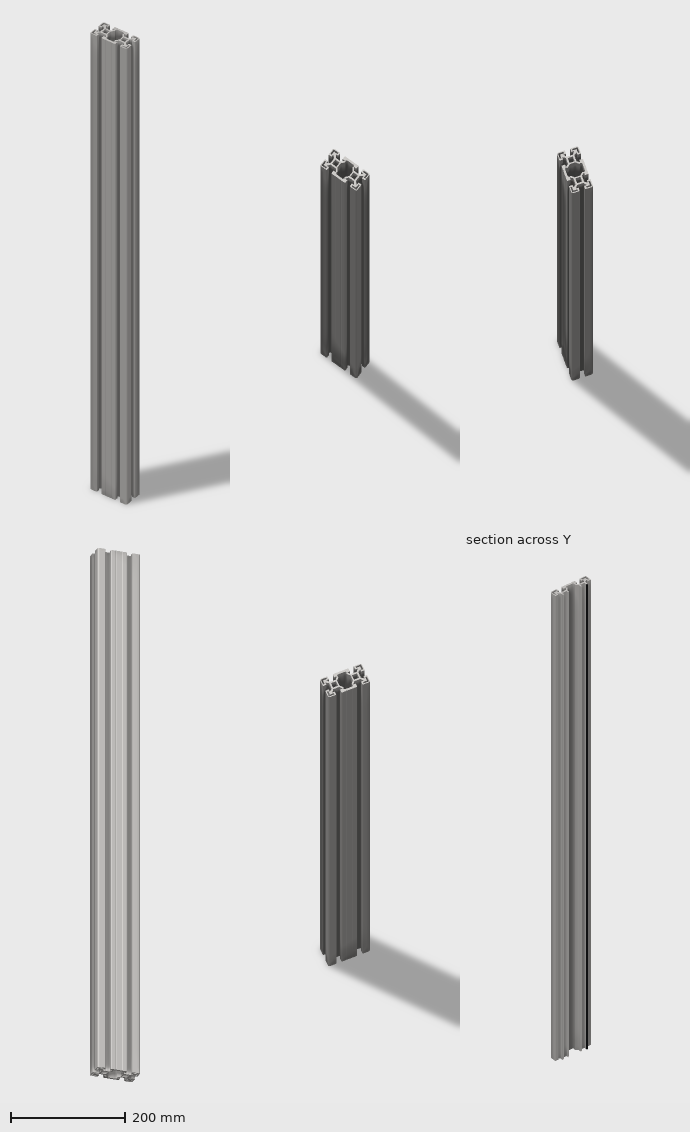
import cadquery as cq

width = 80.0
depth = 40.0
length = 1000.0
corner_radius = 3.1

cell = width / 2
core_x = cell / 2
core_half = 7.9
bore_side = 9.4

slot_half = 5.0
slot_chamfer_width = 1.2
slot_chamfer_depth = 0.5
lip_thickness = 6.7
wing_half = 9.9
floor_half = 5.9

groove_half = 0.9
groove_depth = 0.5
face_groove_x = 6.0

chamber_top_half = 7.0
chamber_top_y = 16.0
chamber_shoulder = (9.1, 14.0)
chamber_waist = (7.8, 11.0)
chamber_side = (13.0, 5.0)

hollow_wall = 1.8
hollow_arm_width = 2.8
hollow_reach = 12.0


def prism(points):
    """Extrude a closed outline over the full length."""
    return cq.Workplane("XY").polyline(points).close().extrude(length)


def with_mirror_in_x(points):
    """Complete a half outline with its mirror image across the Y axis."""
    return points + [(-x, y) for x, y in reversed(points)]


def t_slot():
    """Cutter for a T-slot that opens toward +Y, in a cell centred on the origin."""
    face = cell / 2
    lip_underside = face - lip_thickness
    right_half = [
        (slot_half + slot_chamfer_width, face),
        (slot_half, face - slot_chamfer_depth),
        (slot_half, lip_underside),
        (wing_half, lip_underside),
        (floor_half, core_half),
        (groove_half, core_half),
    ]
    outline = with_mirror_in_x(right_half)
    outline.insert(len(right_half), (0, core_half - groove_depth))
    return prism(outline)


def face_groove(x):
    """Cutter for a V-groove in the +Y face."""
    face = depth / 2
    return prism([(x - groove_half, face), (x + groove_half, face), (x, face - groove_depth)])


def chamber():
    """Cutter for the middle chamber, symmetric about both axes."""
    upper_right = [(chamber_top_half, chamber_top_y), chamber_shoulder, chamber_waist, chamber_side]
    right_half = upper_right + [(x, -y) for x, y in reversed(upper_right)]
    return prism(with_mirror_in_x(right_half))


def corner_hollow():
    """Cutter for the hollow in the corner at +X +Y."""
    corner_x = width / 2
    corner_y = depth / 2
    near = hollow_wall
    inner = hollow_wall + hollow_arm_width
    far = hollow_reach
    insets = [(near, near), (far, near), (far, inner), (inner, inner), (inner, far), (near, far)]
    return prism([(corner_x - x, corner_y - y) for x, y in insets])


result = cq.Workplane("XY").rect(width, depth).extrude(length)
result = result.edges("|Z").fillet(corner_radius)
result = result.cut(chamber())

bore_centers = [(-core_x, 0), (core_x, 0)]
bores = cq.Workplane("XY").pushPoints(bore_centers).rect(bore_side, bore_side).extrude(length)
result = result.cut(bores)

for side in (-1, 1):
    for angle in (0, 180, -90 * side):
        slot = t_slot().rotate((0, 0, 0), (0, 0, 1), angle)
        result = result.cut(slot.translate((side * core_x, 0, 0)))

for x in (-face_groove_x, face_groove_x):
    groove = face_groove(x)
    result = result.cut(groove).cut(groove.mirror("XZ"))

right_hollow = corner_hollow()
for hollow in (right_hollow, right_hollow.mirror("YZ")):
    result = result.cut(hollow).cut(hollow.mirror("XZ"))